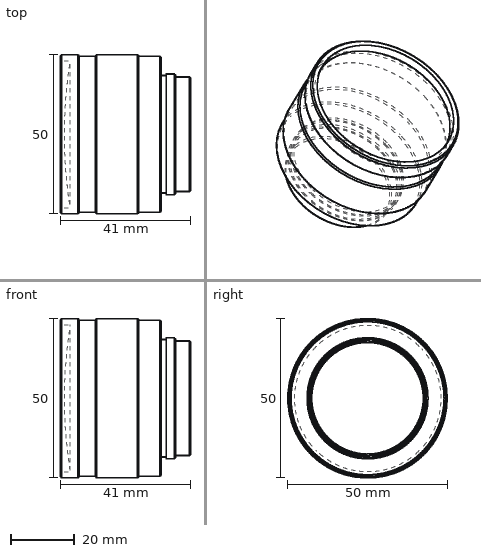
import cadquery as cq


rim_diameter = 50.0
groove_diameter = 49.0
grip_diameter = 50.0
body_diameter = 49.0
neck_diameter = 37.0
flange_diameter = 38.0
tail_diameter = 36.0

rim_end = 6.0
groove_end = 11.0
grip_end = 24.7
body_end = 31.7
neck_end = 33.2
flange_end = 36.2
tail_end = 41.0

edge_chamfer = 0.5

lens_diameter = 46.0
lens_edge_depth = 3.04
lens_bulge = 1.87


def band(start, end, diameter, chamfered_edges=None):
    """Solid disc along X; chamfered_edges selects the end edges to break."""
    start_plane = cq.Workplane("YZ").workplane(offset=start)
    disc = start_plane.circle(diameter / 2).extrude(end - start)
    if chamfered_edges:
        disc = disc.faces(chamfered_edges).edges().chamfer(edge_chamfer)
    return disc


def make_recess():
    """Front pocket whose floor is the convex, spherical lens surface."""
    lens_radius = lens_diameter / 2
    apex_depth = lens_edge_depth - lens_bulge
    sphere_radius = (lens_radius**2 + lens_bulge**2) / (2 * lens_bulge)
    pocket = band(0, lens_edge_depth, lens_diameter)
    sphere_center = (apex_depth + sphere_radius, 0, 0)
    lens_sphere = cq.Workplane("XY").sphere(sphere_radius).translate(sphere_center)
    return pocket.cut(lens_sphere)


def make_barrel():
    """Stack of coaxial bands from the front rim to the rear tail."""
    barrel = band(0, rim_end, rim_diameter, "<X or >X")
    barrel = barrel.union(band(rim_end, groove_end, groove_diameter))
    barrel = barrel.union(band(groove_end, grip_end, grip_diameter, "<X or >X"))
    barrel = barrel.union(band(grip_end, body_end, body_diameter, ">X"))
    barrel = barrel.union(band(body_end, neck_end, neck_diameter))
    barrel = barrel.union(band(neck_end, flange_end, flange_diameter, ">X"))
    return barrel.union(band(flange_end, tail_end, tail_diameter, ">X"))


result = make_barrel().cut(make_recess())